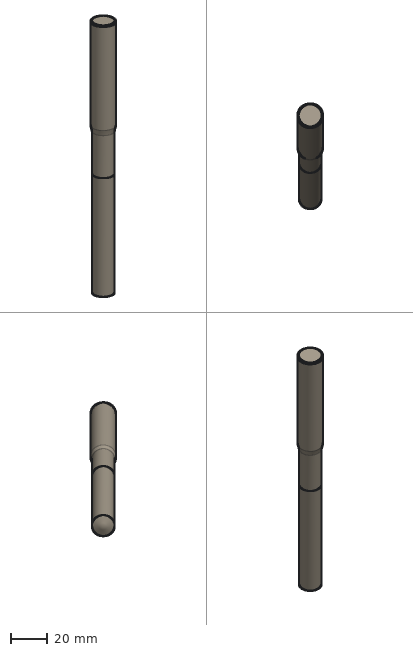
import cadquery as cq
import math

total_length = 167.0
shank_bottom = 103.5
neck_top = 100.0
joint_height = 74.3

shank_diameter = 14.0
body_diameter = 12.5
shank_chamfer = 0.7
point_angle = 140.0

shank_radius = shank_diameter / 2
body_radius = body_diameter / 2
point_height = body_radius / math.tan(math.radians(point_angle / 2))


def revolve_profile(points):
    """Turn a closed (radius, height) outline about the Z axis."""
    return cq.Workplane("XZ").polyline(points).close().revolve(360, (0, 0), (0, 1))


def make_shank():
    """Chamfered cylindrical shank that tapers down to a plain neck."""
    return revolve_profile([
        (0, joint_height),
        (body_radius, joint_height),
        (body_radius, neck_top),
        (shank_radius, shank_bottom),
        (shank_radius, total_length - shank_chamfer),
        (shank_radius - shank_chamfer, total_length),
        (0, total_length),
    ])


def make_cutter():
    """Cylindrical cutting end with a conical point, butted against the neck."""
    return revolve_profile([
        (0, 0),
        (body_radius, point_height),
        (body_radius, joint_height),
        (0, joint_height),
    ])


shank = make_shank()
cutter = make_cutter()

result = cq.Compound.makeCompound([shank.val(), cutter.val()])